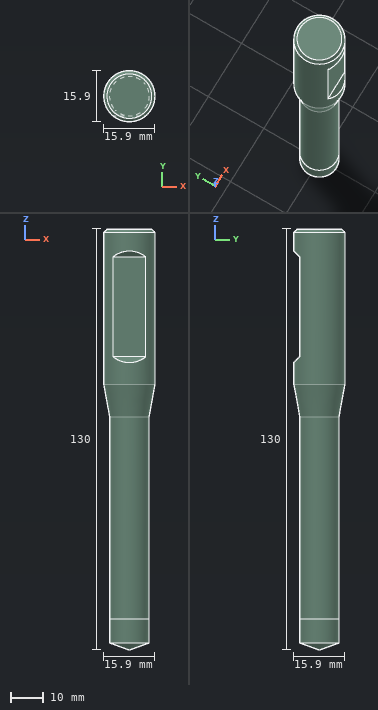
import cadquery as cq
import math

total_length = 130.0
shank_diameter = 15.9
neck_diameter = 12.2

shank_length = 48.0
taper_length = 10.0
shank_chamfer = 1.0

flat_depth = 1.8
flat_length = 30.8

tip_length = 9.6
point_angle = 140.0

shank_radius = shank_diameter / 2
neck_radius = neck_diameter / 2
shank_bottom = total_length - shank_length
taper_bottom = shank_bottom - taper_length
point_height = neck_radius / math.tan(math.radians(point_angle / 2))


def make_flat_cutter():
    """Trapezoidal prism that opens outward through the -Y side of the shank."""
    flat_center = total_length - shank_length / 2
    half_length = flat_length / 2
    outer_half_length = half_length + flat_depth
    floor_y = flat_depth - shank_radius
    return (
        cq.Workplane("YZ")
        .moveTo(floor_y, flat_center - half_length)
        .lineTo(floor_y, flat_center + half_length)
        .lineTo(-shank_radius, flat_center + outer_half_length)
        .lineTo(-shank_radius, flat_center - outer_half_length)
        .close()
        .extrude(shank_radius, both=True)
    )


def make_holder():
    """Chamfered shank, taper and neck, with the clamping flat cut away."""
    body = (
        cq.Workplane("XZ")
        .moveTo(0, tip_length)
        .lineTo(neck_radius, tip_length)
        .lineTo(neck_radius, taper_bottom)
        .lineTo(shank_radius, shank_bottom)
        .lineTo(shank_radius, total_length - shank_chamfer)
        .lineTo(shank_radius - shank_chamfer, total_length)
        .lineTo(0, total_length)
        .close()
        .revolve(360, (0, 0, 0), (0, 1, 0))
    )
    return body.cut(make_flat_cutter())


def make_tip():
    """Cylindrical cutting tip with a conical point, butted against the neck."""
    return (
        cq.Workplane("XZ")
        .lineTo(neck_radius, point_height)
        .lineTo(neck_radius, tip_length)
        .lineTo(0, tip_length)
        .close()
        .revolve(360, (0, 0, 0), (0, 1, 0))
    )


holder = make_holder()
tip = make_tip()

result = cq.Compound.makeCompound([holder.val(), tip.val()])